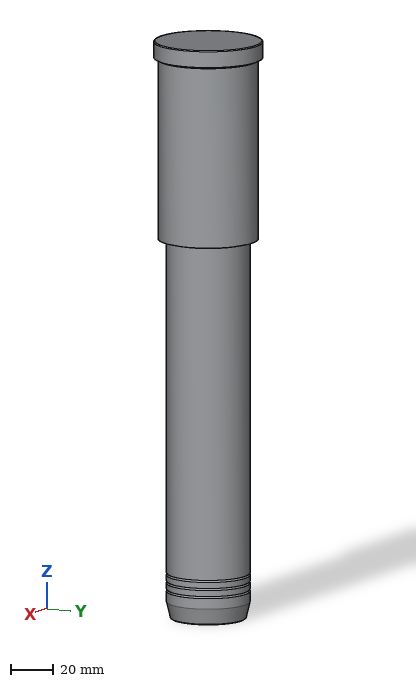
import cadquery as cq

total_length = 280.0
head_thickness = 8.0
collar_length = 88.0
relief_height = 1.0
lead_in_height = 8.0

head_diameter = 52.0
collar_diameter = 48.0
shaft_diameter = 40.0
tip_diameter = 36.0

end_chamfer = 0.5

relief_depth = 0.5

groove_count = 3
groove_radius = 0.5
groove_pitch = 4.0
lowest_groove_center = 13.7

head_bottom = total_length - head_thickness
collar_bottom = head_bottom - collar_length


def cylinder(diameter, bottom, top):
    """Solid cylinder on the Z axis between two heights."""
    return cq.Workplane("XY").workplane(offset=bottom).circle(diameter / 2).extrude(top - bottom)


def relief_cutter(diameter, shoulder):
    """Ring that cuts a shallow relief into a cylinder directly under a shoulder."""
    bottom = shoulder - relief_height
    outer = cylinder(diameter + 2 * relief_depth, bottom, shoulder)
    return outer.cut(cylinder(diameter - 2 * relief_depth, bottom, shoulder))


def lead_in_tip():
    """Tapered tip that widens from the lower end face up to the shaft, with a chamfered end."""
    cone = (
        cq.Workplane("XY")
        .circle(tip_diameter / 2)
        .workplane(offset=lead_in_height)
        .circle(shaft_diameter / 2)
        .loft(ruled=True)
    )
    return cone.faces("<Z").chamfer(end_chamfer)


head = cylinder(head_diameter, head_bottom, total_length).faces(">Z").chamfer(end_chamfer)
collar = cylinder(collar_diameter, collar_bottom, head_bottom)
shaft = cylinder(shaft_diameter, lead_in_height, collar_bottom)
result = lead_in_tip().union(shaft).union(collar).union(head)

result = result.cut(relief_cutter(collar_diameter, head_bottom))
result = result.cut(relief_cutter(shaft_diameter, collar_bottom))

for index in range(groove_count):
    groove_center = lowest_groove_center + index * groove_pitch
    groove_ring = cq.Solid.makeTorus(shaft_diameter / 2, groove_radius, cq.Vector(0, 0, groove_center))
    result = result.cut(cq.Workplane(groove_ring))